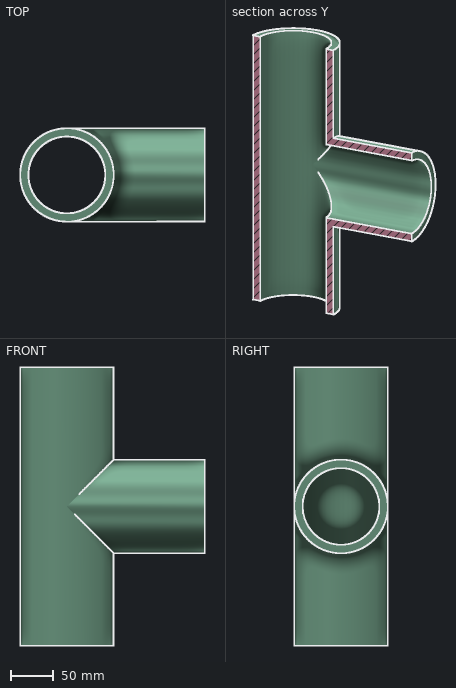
import cadquery as cq

outer_diameter = 110.0
wall_thickness = 10.0
run_length = 327.0
branch_reach = 162.0

bore_diameter = outer_diameter - 2 * wall_thickness


def tee_of_cylinders(diameter):
    """Run and branch cylinders of one diameter, joined at the origin."""
    run = cq.Workplane("XY").circle(diameter / 2).extrude(run_length / 2, both=True)
    branch = cq.Workplane("YZ").circle(diameter / 2).extrude(branch_reach)
    return run.union(branch)


result = tee_of_cylinders(outer_diameter).cut(tee_of_cylinders(bore_diameter))